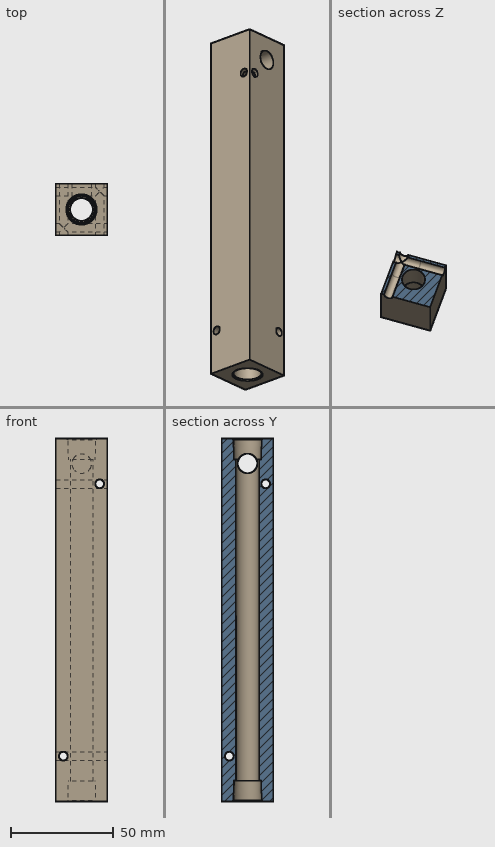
import cadquery as cq

side = 25.4
length = 177.8

bore_diameter = 11.1
port_diameter = 13.7
port_end_diameter = 13.1
port_depth = 10.2
mouth_diameter = 14.95
mouth_chamfer = 0.6

side_hole_diameter = 9.5
side_hole_end_distance = 12.25
side_hole_height = length / 2 - side_hole_end_distance

cross_hole_diameter = 4.2
cross_hole_offset = 8.9
cross_hole_end_distance = 22.225
cross_hole_height = length / 2 - cross_hole_end_distance


def make_bar():
    return cq.Workplane("XY").box(side, side, length)


def make_bore():
    """Through bore with a tapered, chamfered port at both ends, as one solid."""
    half_length = length / 2
    bore_radius = bore_diameter / 2
    port_radius = port_diameter / 2
    port_end_radius = port_end_diameter / 2
    mouth_radius = mouth_diameter / 2
    step_height = half_length - port_depth
    chamfer_height = half_length - mouth_chamfer
    upper_half = (
        cq.Workplane("XZ")
        .lineTo(bore_radius, 0)
        .lineTo(bore_radius, step_height)
        .lineTo(port_end_radius, step_height)
        .lineTo(port_radius, chamfer_height)
        .lineTo(mouth_radius, half_length)
        .lineTo(0, half_length)
        .close()
        .revolve(360, (0, 0, 0), (0, 1, 0))
    )
    return upper_half.union(upper_half.mirror("XY"))


def make_cross_hole(plane, offset, height):
    """Cylinder running through the whole bar, normal to the given vertical plane."""
    return (
        cq.Workplane(plane)
        .center(offset, height)
        .circle(cross_hole_diameter / 2)
        .extrude(side, both=True)
    )


def make_side_hole():
    """Cylinder from the bar's axis out through the +Y face."""
    return (
        cq.Workplane("XZ")
        .center(0, side_hole_height)
        .circle(side_hole_diameter / 2)
        .extrude(-side)
    )


result = make_bar().cut(make_bore()).cut(make_side_hole())

for end in (1, -1):
    for plane in ("XZ", "YZ"):
        hole = make_cross_hole(plane, end * cross_hole_offset, end * cross_hole_height)
        result = result.cut(hole)